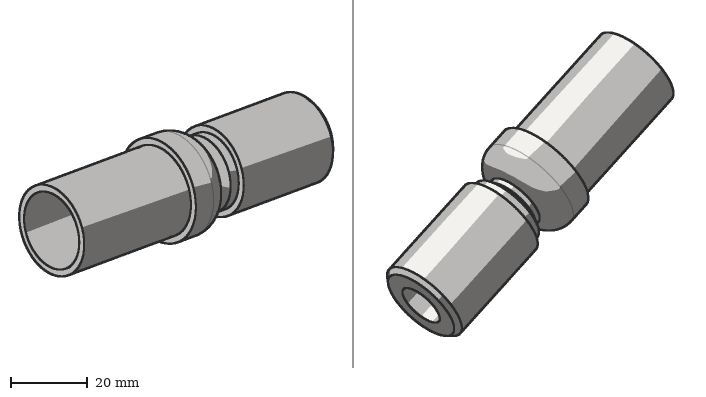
import cadquery as cq
import math


body_diameter = 25.0
collar_diameter = 28.8
neck_diameter = 16.3
wall_thickness = 1.9
sleeve_bore_diameter = body_diameter - 2 * wall_thickness
through_bore_diameter = neck_diameter - 2 * wall_thickness
shoulder_diameter = 21.2

total_length = 90.0
collar_start = 38.0
dome_start = 44.3
dome_radius = (collar_diameter - neck_diameter) / 2
dome_end = dome_start + dome_radius
neck_end = 52.3
shoulder_start = 53.9
plug_start = 56.8
end_chamfer = 1.4


def turned(half_profile):
    """Close a half profile drawn in the XY plane and turn it about the Y axis."""
    return half_profile.close().revolve(360, (0, 0, 0), (0, 1, 0))


def make_body():
    """Outer shape: sleeve, collar with its rounded dome, neck, shoulder and plug."""
    body_r = body_diameter / 2
    collar_r = collar_diameter / 2
    neck_r = neck_diameter / 2
    shoulder_r = shoulder_diameter / 2
    dome_mid = dome_radius * math.sqrt(0.5)
    return turned(
        cq.Workplane("XY")
        .moveTo(0, 0)
        .lineTo(body_r, 0)
        .lineTo(body_r, collar_start)
        .lineTo(collar_r, collar_start)
        .lineTo(collar_r, dome_start)
        .threePointArc((neck_r + dome_mid, dome_start + dome_mid), (neck_r, dome_end))
        .lineTo(neck_r, neck_end)
        .lineTo(shoulder_r, shoulder_start)
        .lineTo(shoulder_r, plug_start)
        .lineTo(body_r, plug_start)
        .lineTo(body_r, total_length - end_chamfer)
        .lineTo(body_r - end_chamfer, total_length)
        .lineTo(0, total_length)
    )


def make_bore():
    """Wide sleeve bore that tapers inside the dome to the narrow bore through the plug."""
    sleeve_bore_r = sleeve_bore_diameter / 2
    through_bore_r = through_bore_diameter / 2
    return turned(
        cq.Workplane("XY")
        .moveTo(0, 0)
        .lineTo(sleeve_bore_r, 0)
        .lineTo(sleeve_bore_r, dome_start)
        .lineTo(through_bore_r, dome_end)
        .lineTo(through_bore_r, total_length)
        .lineTo(0, total_length)
    )


result = make_body().cut(make_bore()).translate((0, -total_length / 2, 0))